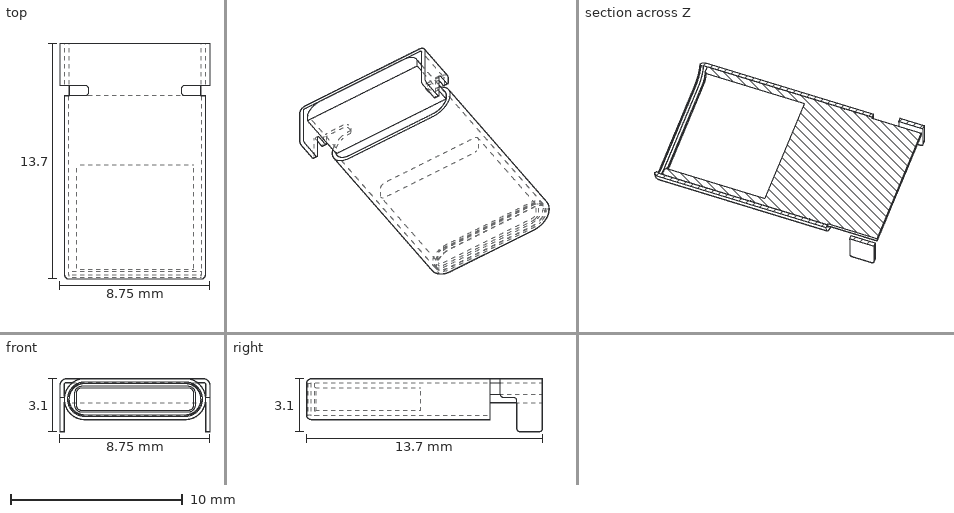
import cadquery as cq
import math


LENGTH = 13.74
BRACKET_WIDTH = 8.75
BRACKET_HEIGHT = 3.1
TUBE_WIDTH = 8.25
TUBE_HEIGHT = 2.4
WALL = 0.25
TUBE_TOP = TUBE_HEIGHT / 2

MOUTH_ROUND = 0.36
LIP_THICKNESS = 0.29
LIP_LENGTH = 0.25
LIP_CHAMFER = 0.1
CHAMFER_ANGLE = 45
MOUTH_WIDTH = TUBE_WIDTH - 2 * LIP_THICKNESS
MOUTH_HEIGHT = TUBE_HEIGHT - 2 * LIP_THICKNESS
RIM_DROP = MOUTH_ROUND - (LIP_THICKNESS - LIP_CHAMFER)
ROUND_START = math.sqrt(MOUTH_ROUND**2 - RIM_DROP**2) - MOUTH_ROUND

BRACKET_LENGTH = 2.46
SLOT_LENGTH = 0.59
NECK_WIDTH = 5.41
BEND_RADIUS = 0.41
BEND_INNER_RADIUS = 0.08
CORNER_RADIUS = 0.19
LEG_THICKNESS = 0.26
FLANGE_DEPTH = 1.1
LEG_LENGTH = 1.5
BRACKET_FRONT = LENGTH - BRACKET_LENGTH
TUBE_REAR = BRACKET_FRONT - SLOT_LENGTH
LEG_FRONT = LENGTH - LEG_LENGTH
LEG_BOTTOM = TUBE_TOP - BRACKET_HEIGHT
FLANGE_BOTTOM = TUBE_TOP - FLANGE_DEPTH

CORE_FRONT = 0.45
CORE_WIDTH = TUBE_WIDTH - 2 * WALL
CORE_HEIGHT = TUBE_HEIGHT - 2 * WALL
TAIL_WIDTH = 7.67
TAIL_BOTTOM = -0.22
RECESS_WIDTH = 6.84
RECESS_HEIGHT = 1.32
RECESS_RADIUS = 0.33
RECESS_CHAMFER = 0.1
RECESS_DEPTH = 6.18


def cross_section(y):
    """Workplane across the plug: local x along Z, local y along X, facing the rear."""
    return cq.Workplane("ZX", origin=(0, y, 0))


def stadium_bar(width, height, y_start, y_end, taper=0):
    """Round-ended bar along Y that narrows towards the rear by the taper angle."""
    profile = cross_section(y_start).slot2D(width, height, 90)
    return profile.extrude(y_end - y_start, taper=taper)


def rounded_bar(width, height, radius, y_start, y_end, taper=0):
    """Rectangular bar along Y with rounded corners, narrowing towards the rear by the taper angle."""
    profile = cq.Sketch().rect(height, width).vertices().fillet(radius)
    return cross_section(y_start).placeSketch(profile).extrude(y_end - y_start, taper=taper)


def block(width, y_start, y_end, z_bottom, z_top):
    """Box centred on X = 0."""
    base = cq.Workplane("XY", origin=(0, y_start, z_bottom))
    return base.box(width, y_end - y_start, z_top - z_bottom, centered=(True, False, False))


def make_tube():
    """Tube with a rounded mouth, a chamfered lip and a wider bore behind the lip."""
    outside = stadium_bar(TUBE_WIDTH, TUBE_HEIGHT, ROUND_START, TUBE_REAR)
    outside = outside.faces("<Y").edges().fillet(MOUTH_ROUND)
    bore = stadium_bar(CORE_WIDTH, CORE_HEIGHT, LIP_LENGTH, TUBE_REAR)
    mouth = stadium_bar(MOUTH_WIDTH, MOUTH_HEIGHT, ROUND_START, LIP_LENGTH)
    flare = LIP_CHAMFER - ROUND_START
    lead_in = stadium_bar(
        MOUTH_WIDTH + 2 * flare, MOUTH_HEIGHT + 2 * flare, ROUND_START, LIP_CHAMFER, CHAMFER_ANGLE
    )
    return outside.cut(bore).cut(mouth).cut(lead_in)


def make_neck():
    """Strip of the top wall between the two side slots, whose inner corners are rounded."""
    strip = block(TUBE_WIDTH, TUBE_REAR, BRACKET_FRONT, TUBE_TOP - WALL, TUBE_TOP)
    slot = block(TUBE_WIDTH, TUBE_REAR, BRACKET_FRONT, TUBE_TOP - WALL, TUBE_TOP)
    slot = slot.edges("|Z").fillet(CORNER_RADIUS)
    slot_center = (NECK_WIDTH + TUBE_WIDTH) / 2
    for side in (-1, 1):
        strip = strip.cut(slot.translate((side * slot_center, 0, 0)))
    return strip


def make_bracket():
    """Channel of bent sheet whose sides are cut to a short flange in front of a longer leg."""
    outside = block(BRACKET_WIDTH, BRACKET_FRONT, LENGTH, LEG_BOTTOM, TUBE_TOP)
    outside = outside.edges("|Y and >Z").fillet(BEND_RADIUS)
    inside_width = BRACKET_WIDTH - 2 * LEG_THICKNESS
    inside = block(inside_width, BRACKET_FRONT, LENGTH, LEG_BOTTOM, TUBE_TOP - WALL)
    inside = inside.edges("|Y and >Z").fillet(BEND_INNER_RADIUS)
    side_outline = [
        (LENGTH, TUBE_TOP),
        (BRACKET_FRONT, TUBE_TOP),
        (BRACKET_FRONT, FLANGE_BOTTOM),
        (LEG_FRONT, FLANGE_BOTTOM),
        (LEG_FRONT, LEG_BOTTOM),
        (LENGTH, LEG_BOTTOM),
    ]
    side_shape = cq.Workplane("YZ").polyline(side_outline).close().extrude(BRACKET_WIDTH / 2, both=True)
    side_shape = side_shape.edges("|X and (not >Z)").fillet(CORNER_RADIUS)
    return outside.cut(inside).intersect(side_shape)


def make_shell():
    return make_tube().union(make_neck()).union(make_bracket())


def make_core():
    """Core that fills the tube behind the lip, with a front recess and a trimmed tail under the bracket."""
    front = stadium_bar(CORE_WIDTH, CORE_HEIGHT, CORE_FRONT, TUBE_REAR)
    tail_limits = block(TAIL_WIDTH, TUBE_REAR, LENGTH, TAIL_BOTTOM, CORE_HEIGHT / 2)
    tail = stadium_bar(CORE_WIDTH, CORE_HEIGHT, TUBE_REAR, LENGTH).intersect(tail_limits)
    recess = rounded_bar(
        RECESS_WIDTH, RECESS_HEIGHT, RECESS_RADIUS, CORE_FRONT, CORE_FRONT + RECESS_DEPTH
    )
    lead_in = rounded_bar(
        RECESS_WIDTH + 2 * RECESS_CHAMFER,
        RECESS_HEIGHT + 2 * RECESS_CHAMFER,
        RECESS_RADIUS + RECESS_CHAMFER,
        CORE_FRONT,
        CORE_FRONT + RECESS_CHAMFER,
        CHAMFER_ANGLE,
    )
    return front.union(tail).cut(recess).cut(lead_in)


shell = make_shell().solids()
core = make_core().solids()
result = cq.Compound.makeCompound([shell.val(), core.val()])